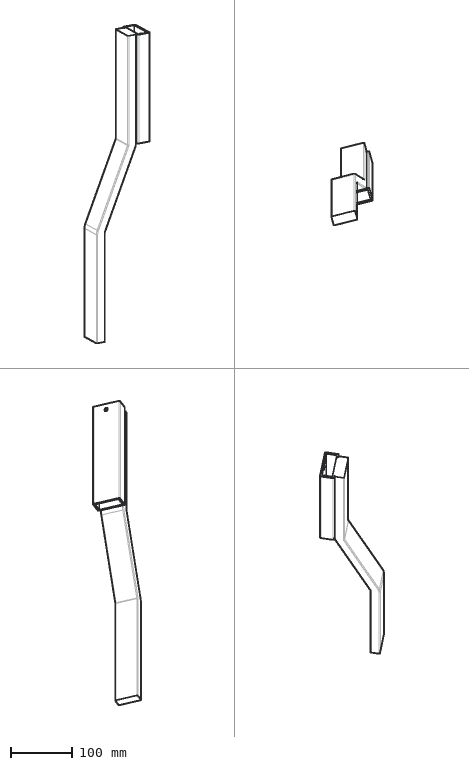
import cadquery as cq
import math

total_height = 520.0
total_depth = 99.0

tube_width = 48.0
tube_depth = 23.5
tube_wall = 3.0
tube_corner_radius = 1.8

hole_diameter = 5.5
hole_depth_from_top = 11.0

bar_width = 40.0
bar_thickness = 16.0
bar_edge_radius = 1.5
bar_end_length = 187.5
inner_bend_radius = 2.5

tube_length = bar_end_length

lower_y = bar_thickness / 2
tube_front_y = total_depth - tube_depth
upper_y = tube_front_y - bar_thickness / 2
bend_radius = inner_bend_radius + bar_thickness / 2
lower_bend_z = bar_end_length
upper_bend_z = total_height - bar_end_length

offset = upper_y - lower_y
rise = upper_bend_z - lower_bend_z
slope_length = math.sqrt(rise**2 + offset**2 - 4 * bend_radius * offset)
bend_angle = math.atan2(offset - 2 * bend_radius, rise) + math.atan2(2 * bend_radius, slope_length)


def bend_shift(angle):
    """Sideways and upward travel along a bend after turning through angle."""
    return bend_radius * (1 - math.cos(angle)), bend_radius * math.sin(angle)


def make_bar():
    """Rounded rectangular bar swept along the offset centreline."""
    mid_y, mid_z = bend_shift(bend_angle / 2)
    end_y, end_z = bend_shift(bend_angle)
    path = (
        cq.Workplane("YZ")
        .moveTo(lower_y, 0)
        .lineTo(lower_y, lower_bend_z)
        .threePointArc((lower_y + mid_y, lower_bend_z + mid_z), (lower_y + end_y, lower_bend_z + end_z))
        .lineTo(upper_y - end_y, upper_bend_z - end_z)
        .threePointArc((upper_y - mid_y, upper_bend_z - mid_z), (upper_y, upper_bend_z))
        .lineTo(upper_y, total_height)
    )
    section = cq.Sketch().rect(bar_width, bar_thickness).vertices().fillet(bar_edge_radius)
    return cq.Workplane("XY").center(0, lower_y).placeSketch(section).sweep(path)


def make_tube():
    """Open-ended tube with rounded outer corners and square inner corners."""
    section = (
        cq.Sketch()
        .rect(tube_width, tube_depth)
        .vertices()
        .fillet(tube_corner_radius)
        .reset()
        .rect(tube_width - 2 * tube_wall, tube_depth - 2 * tube_wall, mode="s")
    )
    tube_base = cq.Workplane("XY").workplane(offset=total_height - tube_length)
    return tube_base.center(0, tube_front_y + tube_depth / 2).placeSketch(section).extrude(tube_length)


def make_hole():
    """Cutter for the hole, reaching from the tube's hollow out through its back wall."""
    return (
        cq.Workplane("XZ", origin=(0, total_depth, total_height - hole_depth_from_top))
        .circle(hole_diameter / 2)
        .extrude(tube_depth / 2)
    )


result = make_bar().union(make_tube()).cut(make_hole())